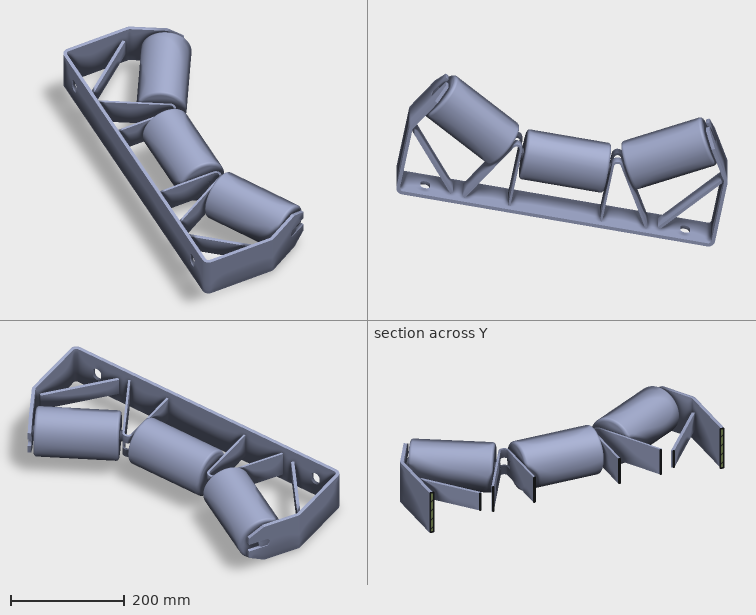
import cadquery as cq
import math


FRAME_LENGTH = 570.0
FRAME_HEIGHT = 80.0
FRAME_THICKNESS = 6.0
FRAME_INNER_RADIUS = 5.5
FRAME_OUTER_RADIUS = FRAME_INNER_RADIUS + FRAME_THICKNESS
WING_TIP_Y = 217.0
TIP_CHAMFER_ALONG = 29.0
TIP_CHAMFER_HEIGHT = 16.5

MOUNT_SLOT_X = 232.5
MOUNT_SLOT_WIDTH = 17.0
MOUNT_SLOT_HEIGHT = 26.0

ROLLER_DIAMETER = 89.0
ROLLER_LENGTH = 150.0
ROLLER_FILLET = 5.0
SHAFT_DIAMETER = 20.0
SHAFT_FLAT_WIDTH = 16.0
SHAFT_SHOULDER = 3.5
BRACKET_GAP = 5.0
WING_GAP = 4.5
TILT = 30.0
MIDDLE_ROLLER_Y = 98.5
SIDE_ROLLER_X = 176.5
SIDE_ROLLER_Y = 148.0

BRACKET_THICKNESS = 4.0
BRACKET_HEIGHT = 50.0
BRACKET_OUTER_RADIUS = 10.0
BRACKET_INNER_RADIUS = BRACKET_OUTER_RADIUS - BRACKET_THICKNESS

STRUT_THICKNESS = 5.5
STRUT_HEIGHT = 34.0
STRUT_WALL_Y = 117.5
STRUT_BASE_X = 187.5

SIDES = (-1, 1)
HALF_LENGTH = FRAME_LENGTH / 2
INNER_WALL_X = HALF_LENGTH - FRAME_THICKNESS
SUPPORT_DISTANCE = ROLLER_LENGTH / 2 + BRACKET_GAP
SHAFT_HALF_LENGTH = SUPPORT_DISTANCE + BRACKET_THICKNESS
COS_TILT = math.cos(math.radians(TILT))
SIN_TILT = math.sin(math.radians(TILT))
TAN_TILT = SIN_TILT / COS_TILT
SLOT_REACH = 57.0


def side_point(along, across):
    """Point near the left roller: along its axis (inward) and across it (away from the base)."""
    return (
        -SIDE_ROLLER_X + along * COS_TILT + across * SIN_TILT,
        SIDE_ROLLER_Y - along * SIN_TILT + across * COS_TILT,
    )


def on_side(body, side):
    """Keep a body made for the left side, or mirror it to the right side."""
    return body if side < 0 else body.mirror("YZ")


def tilt_left(body):
    """Move a body from the origin, lying along X, to the left roller position."""
    turned = body.rotate((0, 0, 0), (0, 0, 1), -TILT)
    return turned.translate((-SIDE_ROLLER_X, SIDE_ROLLER_Y, 0))


def extrude_mid(outline, height):
    """Extrude a closed outline evenly above and below Z = 0."""
    return outline.extrude(height / 2, both=True)


def shaft_slot(axial_start, axial_end):
    """Cutter for a shaft slot: round bottom, flat sides, open toward +Y."""
    depth = axial_end - axial_start
    plane = cq.Workplane("YZ").workplane(offset=axial_start)
    bottom = plane.circle(SHAFT_DIAMETER / 2).extrude(depth)
    channel = plane.center(SLOT_REACH / 2, 0).rect(SLOT_REACH, SHAFT_DIAMETER).extrude(depth)
    flats = cq.Workplane("YZ").workplane(offset=axial_start)
    flats = flats.rect(2 * SLOT_REACH, SHAFT_FLAT_WIDTH).extrude(depth)
    return bottom.union(channel).intersect(flats)


def make_roller():
    """Roller along X at the origin with a shaft that has two flats at each end."""
    drum = cq.Workplane("YZ", origin=(-ROLLER_LENGTH / 2, 0, 0))
    drum = drum.circle(ROLLER_DIAMETER / 2).extrude(ROLLER_LENGTH)
    drum = drum.edges("%CIRCLE").fillet(ROLLER_FILLET)
    shoulder_end = ROLLER_LENGTH / 2 + SHAFT_SHOULDER
    shoulder = cq.Workplane("YZ").circle(SHAFT_DIAMETER / 2).extrude(shoulder_end, both=True)
    flats = cq.Workplane("YZ").rect(SHAFT_DIAMETER, SHAFT_FLAT_WIDTH)
    flats = flats.extrude(SHAFT_HALF_LENGTH, both=True)
    ends = cq.Workplane("YZ").circle(SHAFT_DIAMETER / 2).extrude(SHAFT_HALF_LENGTH, both=True)
    return drum.union(shoulder).union(ends.intersect(flats))


def tip_corner(outer_face, tip_across, end):
    """Triangular cutter for the upper (end = 1) or lower (end = -1) corner of the left wing tip."""
    edge_z = end * FRAME_HEIGHT / 2
    corner = cq.Workplane("YZ").workplane(offset=outer_face).polyline([
        (tip_across, edge_z),
        (tip_across - TIP_CHAMFER_ALONG, edge_z),
        (tip_across, edge_z - end * TIP_CHAMFER_HEIGHT),
    ]).close().extrude(FRAME_THICKNESS)
    return tilt_left(corner)


def make_frame():
    """Bent strip with a straight base, two side walls and two wings leaning inward."""
    inner_face = -ROLLER_LENGTH / 2 - WING_GAP
    outer_face = inner_face - FRAME_THICKNESS
    face_x, face_y = side_point(outer_face, 0)
    root_y = face_y - (face_x + HALF_LENGTH) / TAN_TILT
    inner_root_y = root_y - FRAME_THICKNESS * math.tan(math.radians(TILT / 2))
    tip_across = (WING_TIP_Y - face_y) / COS_TILT

    outer_left = [(-HALF_LENGTH, 0), (-HALF_LENGTH, root_y), side_point(outer_face, tip_across)]
    inner_left = [
        side_point(inner_face, tip_across),
        (-INNER_WALL_X, inner_root_y),
        (-INNER_WALL_X, FRAME_THICKNESS),
    ]
    left = outer_left + inner_left
    right = [(-x, y) for x, y in reversed(left)]
    frame = extrude_mid(cq.Workplane("XY").polyline(left + right).close(), FRAME_HEIGHT)

    outer_bends = outer_left[:2]
    inner_bends = inner_left[1:]
    for bends, radius in ((outer_bends, FRAME_OUTER_RADIUS), (inner_bends, FRAME_INNER_RADIUS)):
        for x, y in bends:
            for side in SIDES:
                corner = cq.selectors.NearestToPointSelector((side * x, y, 0))
                frame = frame.edges("|Z").edges(corner).fillet(radius)

    for side in SIDES:
        slot = tilt_left(shaft_slot(outer_face, inner_face))
        frame = frame.cut(on_side(slot, side))
        for end in (-1, 1):
            frame = frame.cut(on_side(tip_corner(outer_face, tip_across, end), side))

    mounts = cq.Workplane("XZ").pushPoints([(side * MOUNT_SLOT_X, 0) for side in SIDES])
    mounts = mounts.slot2D(MOUNT_SLOT_HEIGHT, MOUNT_SLOT_WIDTH, 90).extrude(-FRAME_THICKNESS)
    return frame.cut(mounts)


def make_bracket():
    """Left bracket: an upright leg and a leaning leg joined by a round bend."""
    outer_x = -SUPPORT_DISTANCE
    inner_x = outer_x - BRACKET_THICKNESS
    lean_outer = SUPPORT_DISTANCE
    lean_inner = lean_outer + BRACKET_THICKNESS

    bend_x = outer_x - BRACKET_OUTER_RADIUS
    lean_x, lean_y = side_point(lean_outer + BRACKET_OUTER_RADIUS, 0)
    bend_y = lean_y + (bend_x - lean_x) / TAN_TILT
    bend_across = (bend_x - lean_x) / SIN_TILT

    foot_across = (FRAME_THICKNESS - side_point(lean_inner, 0)[1]) / COS_TILT

    def bend_middle(radius):
        angle = math.radians((180 - TILT) / 2)
        return (bend_x + radius * math.cos(angle), bend_y + radius * math.sin(angle))

    outline = (
        cq.Workplane("XY")
        .moveTo(outer_x, FRAME_THICKNESS)
        .lineTo(outer_x, bend_y)
        .threePointArc(bend_middle(BRACKET_OUTER_RADIUS), side_point(lean_outer, bend_across))
        .lineTo(*side_point(lean_outer, foot_across))
        .lineTo(*side_point(lean_inner, foot_across))
        .lineTo(*side_point(lean_inner, bend_across))
        .threePointArc(bend_middle(BRACKET_INNER_RADIUS), (inner_x, bend_y))
        .lineTo(inner_x, FRAME_THICKNESS)
        .close()
    )
    bracket = extrude_mid(outline, BRACKET_HEIGHT)
    upright_slot = shaft_slot(bend_x, outer_x).translate((0, MIDDLE_ROLLER_Y, 0))
    leaning_slot = tilt_left(shaft_slot(lean_outer, lean_outer + BRACKET_OUTER_RADIUS))
    return bracket.cut(upright_slot).cut(leaning_slot)


def make_strut():
    """Left strut: a flat bar whose lower face runs from the side wall to the base."""
    run = INNER_WALL_X - STRUT_BASE_X
    drop = STRUT_WALL_Y - FRAME_THICKNESS
    length = math.hypot(run, drop)
    shift_x = STRUT_THICKNESS * drop / length
    shift_y = STRUT_THICKNESS * run / length
    outline = cq.Workplane("XY").polyline([
        (-INNER_WALL_X, STRUT_WALL_Y),
        (-STRUT_BASE_X, FRAME_THICKNESS),
        (-STRUT_BASE_X + shift_x, FRAME_THICKNESS + shift_y),
        (-INNER_WALL_X + shift_x, STRUT_WALL_Y + shift_y),
    ]).close()
    return extrude_mid(outline, STRUT_HEIGHT)


frame = make_frame()
rollers = [make_roller().translate((0, MIDDLE_ROLLER_Y, 0))]
brackets = []
struts = []
for side in SIDES:
    rollers.append(on_side(tilt_left(make_roller()), side))
    brackets.append(on_side(make_bracket(), side))
    struts.append(on_side(make_strut(), side))

bodies = [frame, *rollers, *brackets, *struts]
result = cq.Compound.makeCompound([body.val() for body in bodies])